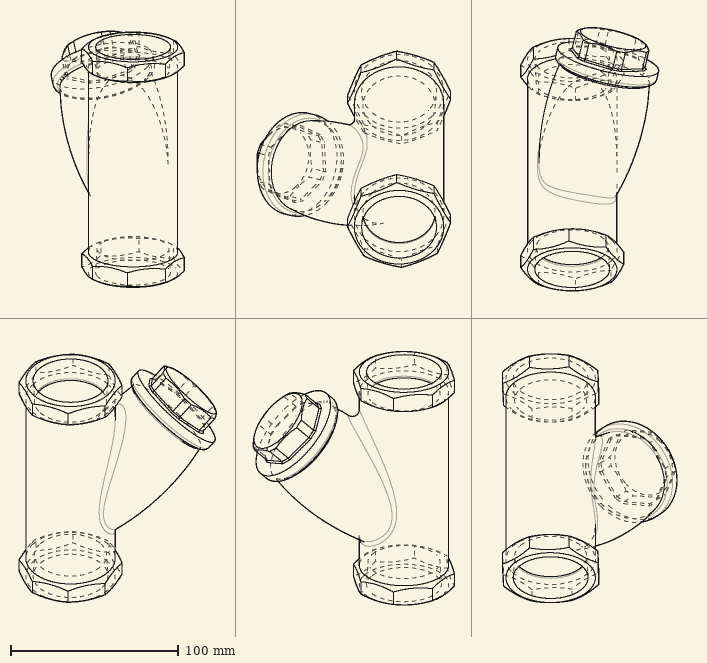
import cadquery as cq
import math

total_length = 143.0
pipe_diameter = 53.5

end_nut_flats = 57.0
end_nut_height = 13.0
end_nut_sides = 8
socket_mouth_diameter = 44.8
socket_floor_diameter = 43.2
socket_taper_depth = 14.0
socket_floor_band = 1.1

branch_angle = 45.0
flange_center_x = -67.4
flange_center_z = 36.8
flange_radius = 62.0 / 2
flange_rim_height = 5.3
flange_rounding = 2.3
flange_total_height = flange_rim_height + flange_rounding
flange_back_radius = flange_radius - flange_rounding
neck_radius = 27.5
neck_blend = flange_back_radius - neck_radius
neck_height = flange_total_height + neck_blend
belly_radius = 29.9
belly_height = 40.0
root_radius = 21.5
root_height = 87.2
branch_fillet = 4.3

plug_height = 13.0
plug_flats = 41.6
plug_corner_span = 44.9
plug_face_diameter = 40.0
plug_flare = 1.0
foot_slope_share = 0.99
chamfer_angle = 30.0


def polygon_prism(sides, flats, height, turn):
    """Regular prism on the XY plane; a zero turn puts a corner on +X."""
    corner_diameter = flats / math.cos(math.pi / sides)
    prism = cq.Workplane("XY").polygon(sides, corner_diameter).extrude(height)
    return prism.rotate((0, 0, 0), (0, 0, 1), turn)


def corner_cutting_cone(face_diameter, height):
    """Cone that trims the corners around the face at the given height."""
    slope = math.tan(math.radians(chamfer_angle))
    base_radius = face_diameter / 2 + height / slope
    profile = cq.Workplane("XZ").polyline(
        [(0, 0), (base_radius, 0), (face_diameter / 2, height), (0, height)]
    )
    return profile.close().revolve(360, (0, 0, 0), (0, 1, 0))


def make_end_nut():
    """Upper octagon, chamfered on both faces."""
    nut = polygon_prism(end_nut_sides, end_nut_flats, end_nut_height, 180 / end_nut_sides)
    cone = corner_cutting_cone(pipe_diameter, end_nut_height)
    middle = (0, 0, end_nut_height / 2)
    nut = nut.intersect(cone).intersect(cone.mirror("XY", middle))
    return nut.translate((0, 0, total_length / 2 - end_nut_height))


def make_socket():
    """Tapered void in the upper pipe end, with a short straight band at its floor."""
    return (
        cq.Workplane("XY", origin=(0, 0, total_length / 2))
        .circle(socket_mouth_diameter / 2)
        .workplane(offset=-socket_taper_depth)
        .circle(socket_floor_diameter / 2)
        .loft(ruled=True)
        .faces("<Z")
        .wires()
        .toPending()
        .workplane()
        .extrude(socket_floor_band)
    )


def place_on_branch(body):
    """Tilt a body built along Z onto the branch axis."""
    tilted = body.rotate((0, 0, 0), (0, 1, 0), -branch_angle)
    return tilted.translate((flange_center_x, 0, flange_center_z))


def make_belly():
    """Bulging branch body, running from inside the flange into the pipe."""
    profile = (
        cq.Workplane("XZ")
        .moveTo(0, -flange_rim_height)
        .lineTo(neck_radius, -flange_rim_height)
        .lineTo(neck_radius, -neck_height)
        .threePointArc((belly_radius, -belly_height), (root_radius, -root_height))
        .lineTo(0, -root_height)
        .close()
    )
    belly = profile.revolve(360, (0, 0, 0), (0, 1, 0)).rotate((0, 0, 0), (0, 0, 1), 180)
    return place_on_branch(belly)


def make_flange():
    """Round flange with a rounded back edge and a concave blend to the neck."""
    diagonal = math.sqrt(0.5)
    arc_middle = (
        flange_back_radius + flange_rounding * diagonal,
        -flange_rim_height - flange_rounding * diagonal,
    )
    blend_middle = (
        flange_back_radius - neck_blend * diagonal,
        -neck_height + neck_blend * diagonal,
    )
    profile = (
        cq.Workplane("XZ")
        .lineTo(flange_radius, 0)
        .lineTo(flange_radius, -flange_rim_height)
        .threePointArc(arc_middle, (flange_back_radius, -flange_total_height))
        .threePointArc(blend_middle, (neck_radius, -neck_height))
        .lineTo(0, -neck_height)
        .close()
    )
    return place_on_branch(profile.revolve(360, (0, 0, 0), (0, 1, 0)))


def make_plug():
    """Hexagon with flattened corners, a chamfered face and a flared foot."""

    def flattened_hexagon(flats, corner_span, height):
        hexagon = polygon_prism(6, flats, height, 0)
        return hexagon.intersect(polygon_prism(6, corner_span, height, 30))

    head = flattened_hexagon(plug_flats, plug_corner_span, plug_height)
    head = head.intersect(corner_cutting_cone(plug_face_diameter, plug_height))
    foot_flats = plug_flats + 2 * plug_flare
    foot_corner_span = plug_corner_span + 2 * plug_flare
    foot = flattened_hexagon(foot_flats, foot_corner_span, plug_flare)
    foot = foot.faces(">Z").edges().chamfer(plug_flare * foot_slope_share)
    return place_on_branch(head.union(foot))


pipe = cq.Workplane("XY").circle(pipe_diameter / 2).extrude(total_length / 2, both=True)
body = pipe.union(make_belly())

body = body.edges("%BSPLINE").fillet(branch_fillet)

body = body.union(make_flange()).union(make_plug())

upper_nut = make_end_nut()
upper_socket = make_socket()
body = body.union(upper_nut).union(upper_nut.mirror("XY"))
result = body.cut(upper_socket).cut(upper_socket.mirror("XY"))